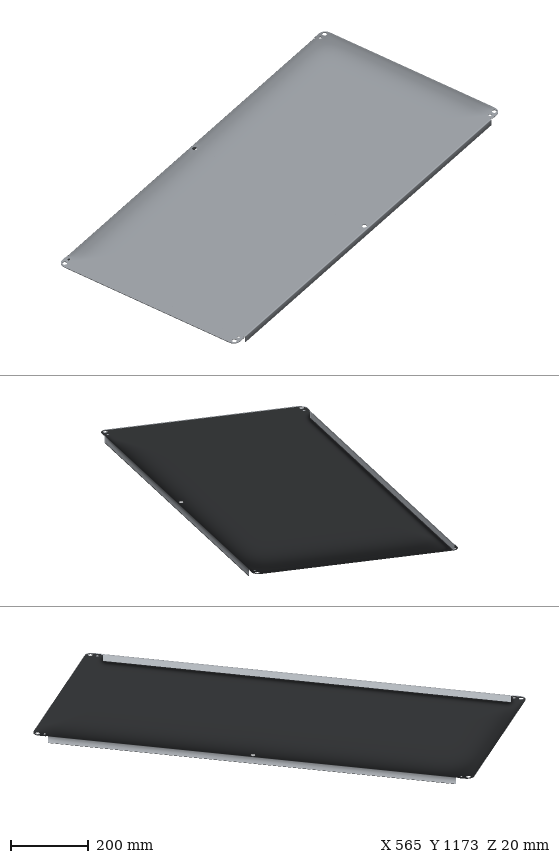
import cadquery as cq

width = 565.0
length = 1173
height = 20.0

thickness = 2.0
bend_inner_radius = 0.9
bend_outer_radius = bend_inner_radius + thickness

corner_radius = 20.0
flange_setback = 43.0
relief_length = 5.0
relief_depth = bend_outer_radius

mounting_diameter = 13.0
pilot_diameter = 8.0
hole_inset = 13.0
pilot_end_inset = 32.0

flange_length = length - 2 * flange_setback
cutout_length = flange_length + 2 * relief_length
hole_x = width / 2 - hole_inset
mounting_y = length / 2 - hole_inset
pilot_y = length / 2 - pilot_end_inset


def flat_plate():
    """Rounded sheet with its top at Z = 0, cut back along both long sides."""
    plate = (
        cq.Workplane("XY")
        .box(width, length, thickness, centered=(True, True, False))
        .translate((0, 0, -thickness))
        .edges("|Z")
        .fillet(corner_radius)
    )
    for side in (-1, 1):
        cutout = cq.Workplane("XY").box(2 * relief_depth, cutout_length, 2 * thickness)
        plate = plate.cut(cutout.translate((side * width / 2, 0, -thickness / 2)))
    return plate


def folded_channel():
    """Web and two bent-down flanges, over the length of the flanges."""
    outer = (
        cq.Workplane("XY")
        .box(width, flange_length, height, centered=(True, True, False))
        .translate((0, 0, -height))
        .edges("|Y and >Z")
        .fillet(bend_outer_radius)
    )
    inner = (
        cq.Workplane("XY")
        .box(width - 2 * thickness, flange_length, height, centered=(True, True, False))
        .translate((0, 0, -height - thickness))
        .edges("|Y and >Z")
        .fillet(bend_inner_radius)
    )
    return outer.cut(inner)


def through_holes(diameter, rows):
    """Cutters for a pair of holes near the long sides at each row Y."""
    points = [(side * hole_x, y) for side in (-1, 1) for y in rows]
    return (
        cq.Workplane("XY")
        .workplane(offset=-thickness)
        .pushPoints(points)
        .circle(diameter / 2)
        .extrude(thickness)
    )


panel = flat_plate().union(folded_channel())
panel = panel.cut(through_holes(mounting_diameter, (-mounting_y, 0, mounting_y)))
result = panel.cut(through_holes(pilot_diameter, (-pilot_y, pilot_y)))